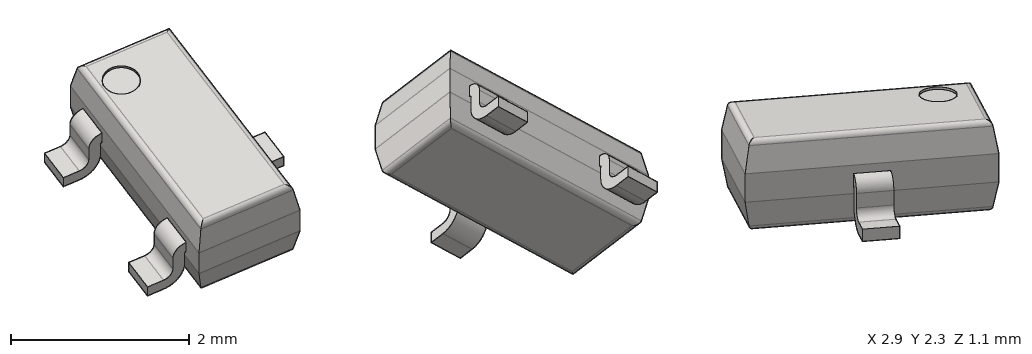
import cadquery as cq
import math

housing_length = 2.9
housing_height = 1.1
band_height = 0.345
draft_angle = 10.0
edge_radius = 0.075

overall_width = 2.3
lead_overhang = 0.5
lead_width = 0.425
lead_thickness = 0.15
lead_top = 0.62
lead_pitch = 1.897
upper_inner_radius = 0.02
lower_inner_radius = 0.122

marker_diameter = lead_width
marker_depth = 0.03
marker_y = -0.28

housing_width = overall_width - 2 * lead_overhang
taper_height = (housing_height - band_height) / 2
upper_outer_radius = upper_inner_radius + lead_thickness
lower_outer_radius = lower_inner_radius + lead_thickness


def make_tapered_half(base_z, direction):
    """Frustum that narrows from the band towards the top (1) or bottom (-1)."""
    half = (
        cq.Workplane("XY")
        .rect(housing_length, housing_width)
        .extrude(taper_height, taper=draft_angle)
    )
    if direction < 0:
        half = half.mirror("XY")
    return half.translate((0, 0, base_z))


def make_housing():
    band_bottom = taper_height
    band_top = taper_height + band_height
    housing = (
        cq.Workplane("XY", origin=(0, 0, band_bottom))
        .rect(housing_length, housing_width)
        .extrude(band_height)
        .union(make_tapered_half(band_top, 1))
        .union(make_tapered_half(band_bottom, -1))
    )
    housing = housing.faces("<Z or >Z").edges().fillet(edge_radius)
    marker = (
        cq.Workplane("XY", origin=(-lead_pitch / 2, marker_y, housing_height - marker_depth))
        .circle(marker_diameter / 2)
        .extrude(marker_depth)
    )
    return housing.cut(marker)


def point_on_circle(center, radius, angle):
    """Point on a circle at the given angle in degrees."""
    turn = math.radians(angle)
    return (center[0] + radius * math.cos(turn), center[1] + radius * math.sin(turn))


def make_lead(center_x):
    """Gull-wing lead on the +Y side, bent twice from a flat strip."""
    face_y = housing_width / 2
    tip_y = overall_width / 2
    upper_center = (face_y, lead_top - upper_outer_radius)
    lower_center = (face_y + upper_outer_radius + lower_inner_radius, lower_outer_radius)
    profile = (
        cq.Workplane("YZ", origin=(center_x - lead_width / 2, 0, 0))
        .moveTo(face_y, lead_top)
        .threePointArc(
            point_on_circle(upper_center, upper_outer_radius, 45),
            (face_y + upper_outer_radius, upper_center[1]),
        )
        .lineTo(face_y + upper_outer_radius, lower_center[1])
        .threePointArc(
            point_on_circle(lower_center, lower_inner_radius, 225),
            (lower_center[0], lead_thickness),
        )
        .lineTo(tip_y, lead_thickness)
        .lineTo(tip_y, 0)
        .lineTo(lower_center[0], 0)
        .threePointArc(
            point_on_circle(lower_center, lower_outer_radius, 225),
            (face_y + upper_inner_radius, lower_center[1]),
        )
        .lineTo(face_y + upper_inner_radius, upper_center[1])
        .threePointArc(
            point_on_circle(upper_center, upper_inner_radius, 45),
            (face_y, lead_top - lead_thickness),
        )
        .close()
    )
    return profile.extrude(lead_width)


housing = make_housing()

leads = [make_lead(0)]
for center_x in (-lead_pitch / 2, lead_pitch / 2):
    leads.append(make_lead(center_x).mirror("XZ"))

result = cq.Compound.makeCompound([housing.val(), *[lead.val() for lead in leads]])